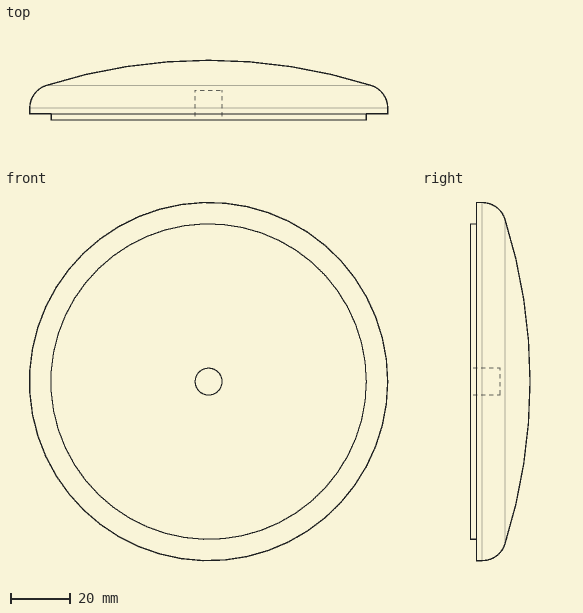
import cadquery as cq
import math

disc_radius = 60.0
base_radius = 52.8
total_depth = 20.0
base_depth = 2.0
band_depth = 1.9
rim_radius = 8.0
hole_diameter = 9.0
hole_depth = 10.0

base_top = base_depth
band_top = base_top + band_depth
rim_center_x = disc_radius - rim_radius
rim_center_y = band_top

rise = total_depth - rim_center_y
dome_radius = (rim_center_x**2 + rise**2 - rim_radius**2) / (2 * (rise - rim_radius))
dome_center_y = total_depth - dome_radius
tangent_angle = math.atan2(rim_center_y - dome_center_y, rim_center_x)


def point_on_arc(center_x, center_y, radius, angle):
    return (center_x + radius * math.cos(angle), center_y + radius * math.sin(angle))


def make_disc():
    """Revolve the half section: stepped base, band, rounded rim and shallow dome."""
    rim_middle = point_on_arc(rim_center_x, rim_center_y, rim_radius, tangent_angle / 2)
    rim_end = point_on_arc(rim_center_x, rim_center_y, rim_radius, tangent_angle)
    dome_middle_angle = (tangent_angle + math.pi / 2) / 2
    dome_middle = point_on_arc(0, dome_center_y, dome_radius, dome_middle_angle)
    return (
        cq.Workplane("XY")
        .lineTo(base_radius, 0)
        .lineTo(base_radius, base_top)
        .lineTo(disc_radius, base_top)
        .lineTo(disc_radius, band_top)
        .threePointArc(rim_middle, rim_end)
        .threePointArc(dome_middle, (0, total_depth))
        .close()
        .revolve(360, (0, 0, 0), (0, 1, 0))
    )


def make_center_hole():
    """Blind hole running from the base in the +Y direction."""
    return cq.Workplane("XZ").circle(hole_diameter / 2).extrude(-hole_depth)


result = make_disc().cut(make_center_hole())